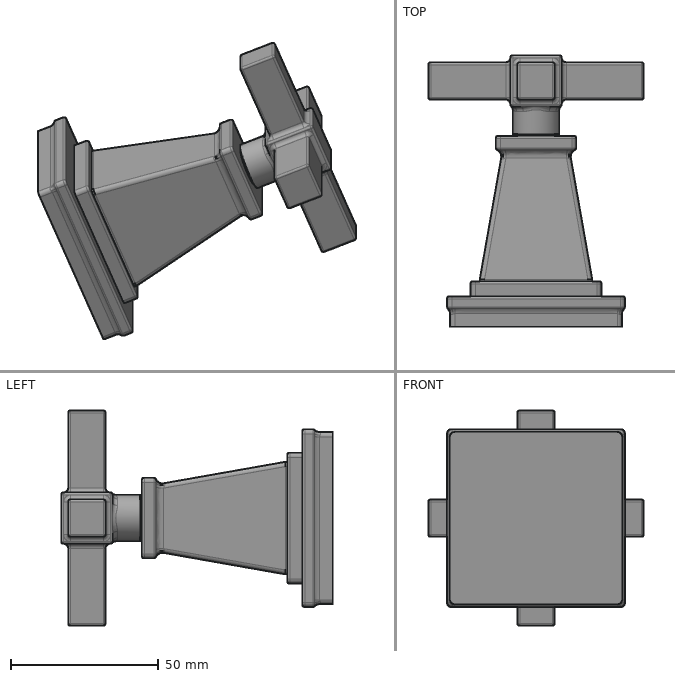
import cadquery as cq
import math

INCH = 25.4

TOTAL_LENGTH = 92.16
ARM_SPAN = 73.03

FOOT_WIDTH = 58.4
FLANGE_WIDTH = 60.4
STEP_WIDTH = 1.75 * INCH
TAPER_WIDTH = 38.2
CAP_WIDTH = 27.4
HUB_WIDTH = 11 / 16 * INCH
ARM_WIDTH = INCH / 2

TAPER_ANGLE = 10.0

COLLAR_DIAMETER = 5 / 8 * INCH
STEM_DIAMETER = INCH / 2

FLANGE_BOTTOM = 6.1
FLANGE_TOP = 10.4
STEP_TOP = 15.5
TAPER_START = 16.2
CAP_BOTTOM = 60.0
CAP_TOP = 64.82
COLLAR_BOTTOM = 65.4
HUB_BOTTOM = TOTAL_LENGTH - HUB_WIDTH
HUB_CENTER = TOTAL_LENGTH - HUB_WIDTH / 2

EDGE_ROUND = INCH / 32
CORNER_ROUND = INCH / 16
SKIRT_COVE = 3 / 32 * INCH
COLLAR_COVE = INCH / 16
RIM_GAP = 0.01
ARM_COVE = (HUB_WIDTH - ARM_WIDTH) / 2 - EDGE_ROUND - RIM_GAP

PICK = 0.1


def square_block(width, bottom, top):
    """Square block on the axis with rounded corner edges."""
    block = cq.Workplane("XY", origin=(0, 0, bottom)).rect(width, width).extrude(top - bottom)
    return block.edges("|Z").fillet(CORNER_ROUND)


def cove_joint(solid, inner_width, height, radius):
    """Hollow fillet where a section of the given width meets the underside of a wider one."""
    reach = inner_width / 2 + PICK
    joint = cq.selectors.BoxSelector(
        (-reach, -reach, height - PICK),
        (reach, reach, height + PICK),
        boundingbox=True,
    )
    return solid.edges(joint).fillet(radius)


def make_base():
    """Sharp-edged foot, overhanging flange and the step on top of it."""
    foot = square_block(FOOT_WIDTH, 0, FLANGE_BOTTOM)
    flange = square_block(FLANGE_WIDTH, FLANGE_BOTTOM, FLANGE_TOP)
    flange = flange.faces("<Z or >Z").edges().fillet(EDGE_ROUND)
    step = square_block(STEP_WIDTH, FLANGE_TOP, STEP_TOP)
    step = step.faces(">Z").edges().fillet(EDGE_ROUND)
    coved = cove_joint(foot.union(flange), FOOT_WIDTH, FLANGE_BOTTOM, SKIRT_COVE)
    return coved.union(step)


def make_body():
    """Tapered body on a short straight root, crowned by a square cap."""
    root = square_block(TAPER_WIDTH, STEP_TOP, TAPER_START)
    taper = (
        cq.Workplane("XY", origin=(0, 0, TAPER_START))
        .rect(TAPER_WIDTH, TAPER_WIDTH)
        .extrude(CAP_BOTTOM - TAPER_START, taper=TAPER_ANGLE)
    )
    taper = taper.edges("not (#Z)").fillet(CORNER_ROUND)
    cap = square_block(CAP_WIDTH, CAP_BOTTOM, CAP_TOP)
    cap = cap.faces("<Z or >Z").edges().fillet(EDGE_ROUND)
    narrowing = (CAP_BOTTOM - TAPER_START) * math.tan(math.radians(TAPER_ANGLE))
    neck_width = TAPER_WIDTH - 2 * narrowing
    coved = cove_joint(taper.union(cap), neck_width, CAP_BOTTOM, SKIRT_COVE)
    return coved.union(root)


def make_cross():
    """Cube hub with four square arms coved into its sides."""
    center = cq.Workplane("XY", origin=(0, 0, HUB_CENTER))
    cross = center.box(HUB_WIDTH, HUB_WIDTH, HUB_WIDTH).edges().fillet(EDGE_ROUND)
    for x_size, y_size in ((ARM_SPAN, ARM_WIDTH), (ARM_WIDTH, ARM_SPAN)):
        bar = center.box(x_size, y_size, ARM_WIDTH).edges().fillet(EDGE_ROUND)
        cross = cross.union(bar)

    face = HUB_WIDTH / 2
    reach = ARM_WIDTH / 2 + PICK
    for side_x, side_y in ((1, 0), (-1, 0), (0, 1), (0, -1)):
        half_x = PICK if side_x else reach
        half_y = PICK if side_y else reach
        joint = cq.selectors.BoxSelector(
            (side_x * face - half_x, side_y * face - half_y, HUB_CENTER - reach),
            (side_x * face + half_x, side_y * face + half_y, HUB_CENTER + reach),
        )
        cross = cross.edges(joint).fillet(ARM_COVE)
    return cross


def add_collar(cross):
    """Thick collar flaring into the hub, on a thinner stem that reaches down to the cap."""
    stem = cq.Workplane("XY", origin=(0, 0, CAP_TOP)).circle(STEM_DIAMETER / 2)
    stem = stem.extrude(COLLAR_BOTTOM - CAP_TOP)
    collar = cq.Workplane("XY", origin=(0, 0, COLLAR_BOTTOM)).circle(COLLAR_DIAMETER / 2)
    collar = collar.extrude(HUB_CENTER - COLLAR_BOTTOM)
    flared = cove_joint(cross.union(collar), COLLAR_DIAMETER, HUB_BOTTOM, COLLAR_COVE)
    return flared.union(stem)


handle = make_base().union(make_body()).union(add_collar(make_cross()))
result = handle.rotate((0, 0, 0), (1, 0, 0), -90)